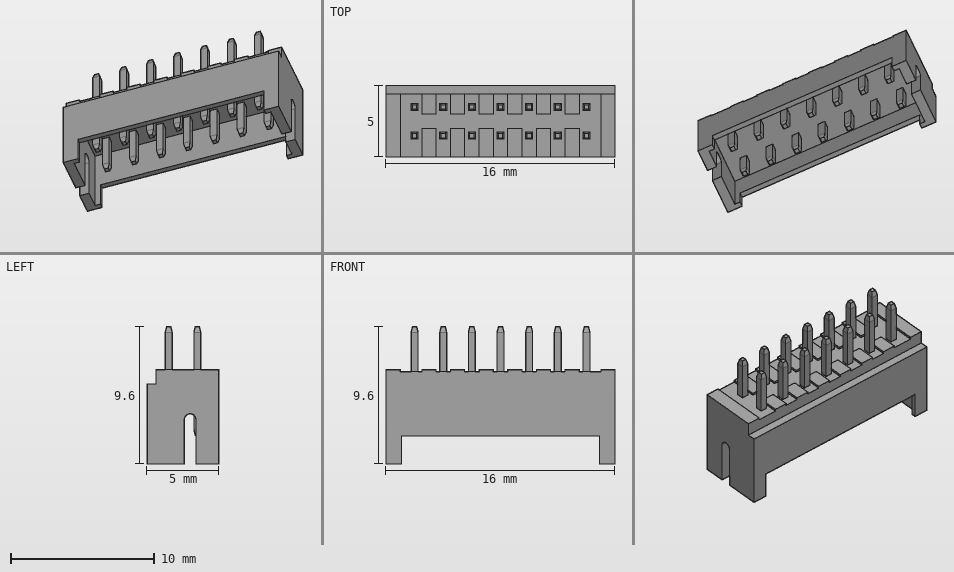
import cadquery as cq

PITCH = 2.0
COLUMNS = 7
ROWS = 2
ROW_SPACING = 2.0

END_MARGIN = 2.0
HOUSING_LENGTH = (COLUMNS - 1) * PITCH + 2 * END_MARGIN
HOUSING_WIDTH = 5.0
HOUSING_HEIGHT = 6.6
FRONT_Y = -HOUSING_WIDTH / 2
BACK_Y = HOUSING_WIDTH / 2

SIDE_WALL = 0.35
END_WALL = 0.7
ROOF_THICKNESS = 1.6

LEG_LENGTH = 1.1
LEG_HEIGHT = 1.95
SLOT_WIDTH = 0.8
SLOT_HEIGHT = 3.5
SLOT_OFFSET = 2.0
SLOT_Y = FRONT_Y + SLOT_OFFSET

STEP_DEPTH = 0.6
STEP_HEIGHT = 1.0
RECESS_DEPTH = 0.15
END_RAIL = 1.0
PAD_LENGTH = PITCH / 2
CHANNEL_WIDTH = 1.0

PIN_SIZE = 0.5
TIP_SIZE = 0.3
TIP_LENGTH = 0.4
PIN_BOTTOM = 2.0
PIN_PROJECTION = 3.0
PIN_TOP = HOUSING_HEIGHT + PIN_PROJECTION


def box(x_range, y_range, z_range):
    """Axis-aligned box between the given limits."""
    size = [high - low for low, high in (x_range, y_range, z_range)]
    corner = (x_range[0], y_range[0], z_range[0])
    return cq.Workplane("XY").box(*size, centered=False).translate(corner)


def centred(length):
    """Limits of a length centred on zero."""
    return (-length / 2, length / 2)


def housing_block():
    """Outer block with the step along its back top edge."""
    block = box(centred(HOUSING_LENGTH), (FRONT_Y, BACK_Y), (0, HOUSING_HEIGHT))
    step = box(
        centred(HOUSING_LENGTH),
        (BACK_Y - STEP_DEPTH, BACK_Y),
        (HOUSING_HEIGHT - STEP_HEIGHT, HOUSING_HEIGHT),
    )
    return block.cut(step)


def cavity():
    """Space that receives the mating plug."""
    return box(
        centred(HOUSING_LENGTH - 2 * END_WALL),
        centred(HOUSING_WIDTH - 2 * SIDE_WALL),
        (0, HOUSING_HEIGHT - ROOF_THICKNESS),
    )


def side_notch():
    """Opening under both long walls that leaves a leg at each end."""
    return box(
        centred(HOUSING_LENGTH - 2 * LEG_LENGTH),
        (FRONT_Y, BACK_Y),
        (0, LEG_HEIGHT),
    )


def end_slot():
    """Round-topped slot running through both end walls."""
    radius = SLOT_WIDTH / 2
    spring_z = SLOT_HEIGHT - radius
    return (
        cq.Workplane("YZ", origin=(-HOUSING_LENGTH / 2, SLOT_Y, 0))
        .moveTo(-radius, 0)
        .lineTo(-radius, spring_z)
        .threePointArc((0, SLOT_HEIGHT), (radius, spring_z))
        .lineTo(radius, 0)
        .close()
        .extrude(HOUSING_LENGTH)
    )


def top_recess():
    """Shallow recess between the end rails, leaving pads between the pin columns."""
    recess_range = (HOUSING_HEIGHT - RECESS_DEPTH, HOUSING_HEIGHT)
    recess = box(centred(HOUSING_LENGTH - 2 * END_RAIL), (FRONT_Y, BACK_Y), recess_range)
    half_channel = CHANNEL_WIDTH / 2
    for gap in range(COLUMNS - 1):
        pad_x = (gap - (COLUMNS - 2) / 2) * PITCH
        pad_range = (pad_x - PAD_LENGTH / 2, pad_x + PAD_LENGTH / 2)
        recess = recess.cut(box(pad_range, (FRONT_Y, -half_channel), recess_range))
        recess = recess.cut(box(pad_range, (half_channel, BACK_Y), recess_range))
    return recess


def pin():
    """Square pin on the Z axis, tapered at both ends."""
    shank_bottom = PIN_BOTTOM + TIP_LENGTH
    shank_top = PIN_TOP - TIP_LENGTH
    shank = box(centred(PIN_SIZE), centred(PIN_SIZE), (shank_bottom, shank_top))
    upper_tip = (
        cq.Workplane("XY", origin=(0, 0, shank_top))
        .rect(PIN_SIZE, PIN_SIZE)
        .workplane(offset=TIP_LENGTH)
        .rect(TIP_SIZE, TIP_SIZE)
        .loft(ruled=True)
    )
    middle = (0, 0, (PIN_BOTTOM + PIN_TOP) / 2)
    lower_tip = upper_tip.mirror("XY", middle)
    return shank.union(upper_tip).union(lower_tip)


result = housing_block().cut(cavity()).cut(side_notch()).cut(end_slot()).cut(top_recess())

single_pin = pin()
for column in range(COLUMNS):
    for row in range(ROWS):
        pin_x = (column - (COLUMNS - 1) / 2) * PITCH
        pin_y = (row - (ROWS - 1) / 2) * ROW_SPACING
        result = result.union(single_pin.translate((pin_x, pin_y, 0)))